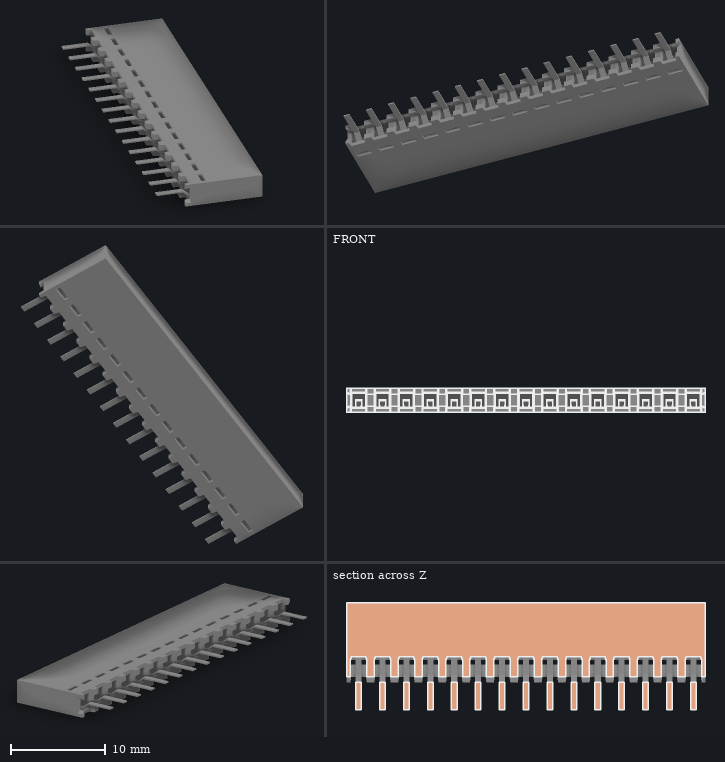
import cadquery as cq

length = 38.1
depth = 8.5
height = 2.55
contact_count = 15
pitch = length / contact_count

front_recess = 0.57
groove_height = 1.25
groove_flare = 0.25
groove_flare_length = 0.25

notch_mouth_width = 1.75
notch_base_width = 1.55

cavity_size = 1.7
cavity_end_size = 1.5
taper_length = 0.35

window_width = 1.6
window_front = 1.9
window_depth = 0.5
window_back = window_front + window_depth
cavity_end = window_back + taper_length

contact_width = 0.65
contact_thickness = 0.15
pin_projection = 2.9
ramp_end = 0.85
contact_anchor = 0.4

contact_positions = [(i + 0.5) * pitch - length / 2 for i in range(contact_count)]


def block(x_center, x_size, y_start, y_end, z_size):
    """Box centred on Z = 0, spanning y_start to y_end."""
    return (
        cq.Workplane("XY")
        .box(x_size, y_end - y_start, z_size)
        .translate((x_center, (y_start + y_end) / 2, 0))
    )


def front_groove():
    """Full-length groove whose height flares out at both ends."""
    half_length = length / 2
    flare_start = half_length - groove_flare_length
    half_height = groove_height / 2
    end_half_height = half_height + groove_flare
    return (
        cq.Workplane("XZ")
        .moveTo(-half_length, end_half_height)
        .lineTo(-flare_start, half_height)
        .lineTo(flare_start, half_height)
        .lineTo(half_length, end_half_height)
        .lineTo(half_length, -end_half_height)
        .lineTo(flare_start, -half_height)
        .lineTo(-flare_start, -half_height)
        .lineTo(-half_length, -end_half_height)
        .close()
        .extrude(-front_recess)
    )


def notch(x_center):
    """Tapered notch through the full height of the front edge."""
    return (
        cq.Workplane("XY")
        .workplane(offset=-height / 2)
        .moveTo(x_center - notch_mouth_width / 2, 0)
        .lineTo(x_center - notch_base_width / 2, front_recess)
        .lineTo(x_center + notch_base_width / 2, front_recess)
        .lineTo(x_center + notch_mouth_width / 2, 0)
        .close()
        .extrude(height)
    )


def cavity(x_center):
    """Square cavity, straight up to the back of the window and tapered behind it."""
    straight = block(x_center, cavity_size, front_recess, window_back, cavity_size)
    taper = (
        cq.Workplane("XZ", origin=(x_center, window_back, 0))
        .rect(cavity_size, cavity_size)
        .workplane(offset=-taper_length)
        .rect(cavity_end_size, cavity_end_size)
        .loft(ruled=True)
    )
    return straight.union(taper)


def contact(x_center):
    """Bent strip anchored in the housing behind the cavity."""
    strip_bottom = -cavity_end_size / 2
    pin_bottom = -contact_thickness / 2
    anchor_end = cavity_end + contact_anchor
    return (
        cq.Workplane("YZ", origin=(x_center - contact_width / 2, 0, 0))
        .moveTo(-pin_projection, pin_bottom)
        .lineTo(0, pin_bottom)
        .lineTo(ramp_end, strip_bottom)
        .lineTo(anchor_end, strip_bottom)
        .lineTo(anchor_end, strip_bottom + contact_thickness)
        .lineTo(ramp_end, strip_bottom + contact_thickness)
        .lineTo(0, pin_bottom + contact_thickness)
        .lineTo(-pin_projection, pin_bottom + contact_thickness)
        .close()
        .extrude(contact_width)
    )


result = block(0, length, 0, depth, height).cut(front_groove())
for x in contact_positions:
    window = block(x, window_width, window_front, window_back, height)
    result = result.cut(notch(x)).cut(cavity(x)).cut(window)
for x in contact_positions:
    result = result.union(contact(x))